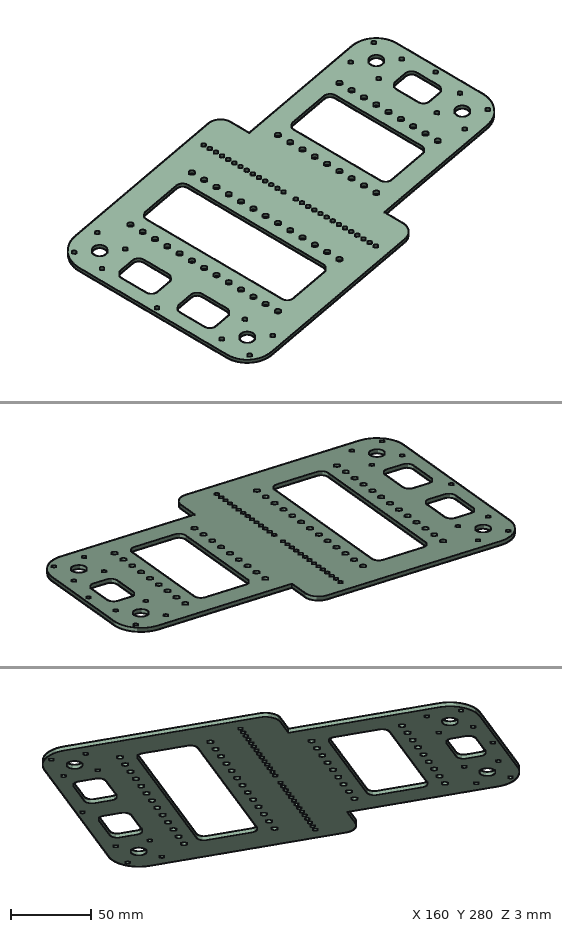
import cadquery as cq
import math

thickness = 3.0
length = 280.0
body_width = 160.0
neck_width = 110.0
shoulder_y = 20.0
end_corner_radius = 20.0
shoulder_radius = 10.0

row_pitch_y = 60.0
window_height = 40.0
window_radius = 5.0
neck_window_width = 80.0
body_window_width = 120.0
neck_window_y = row_pitch_y
body_window_y = -row_pitch_y

row_hole_diameter = 4.0
row_hole_pitch = 10.0
neck_row_count = 9
body_row_count = 13

fine_hole_diameter = 3.0
fine_hole_pitch = 5.0
fine_holes_per_side = 14
fine_row_y = -6.5

bore_diameter = 10.0
screw_hole_diameter = 3.1
bolt_circle_diameter = 32.0
mount_end_inset = 20.0
neck_mount_x = neck_width / 2 - mount_end_inset
body_mount_x = body_width / 2 - mount_end_inset
mount_y = length / 2 - mount_end_inset

end_hole_diameter = 3.0
end_hole_inset = 4.0

neck_opening_width = 27.5
neck_opening_height = 19.5
neck_opening_y = 118.25
body_opening_width = 29.8
body_opening_height = 21.4
body_opening_x = 23.75
body_opening_y = -119.25
opening_radius = 5.0


def rounded_block(width, height, radius, x=0.0, y=0.0):
    """Plate-thick rectangular block with rounded vertical edges, centred at (x, y)."""
    block = cq.Workplane("XY").box(width, height, thickness, centered=(True, True, False))
    return block.edges("|Z").fillet(radius).translate((x, y, 0))


def cut_holes(plate, diameter, points):
    """Cut round through holes at the given points."""
    pins = cq.Workplane("XY").pushPoints(points).circle(diameter / 2).extrude(thickness)
    return plate.cut(pins)


def make_plate():
    """Stepped plate with rounded end corners and shoulders."""
    half_length = length / 2
    half_body = body_width / 2
    half_neck = neck_width / 2
    right_side = [
        (half_body, -half_length),
        (half_body, shoulder_y),
        (half_neck, shoulder_y),
        (half_neck, half_length),
    ]
    left_side = [(-x, y) for x, y in reversed(right_side)]
    plate = cq.Workplane("XY").polyline(right_side + left_side).close().extrude(thickness)
    plate = plate.edges("|Z and (<Y or >Y)").fillet(end_corner_radius)
    return plate.edges("|Z and (<X or >X)").edges(">Y").fillet(shoulder_radius)


def centred_row(count, y):
    """Hole positions of a row centred on x = 0."""
    first_x = -(count - 1) / 2 * row_hole_pitch
    return [(first_x + i * row_hole_pitch, y) for i in range(count)]


def cut_windows(plate):
    """Cut the two large windows and the three small ones."""
    plate = plate.cut(rounded_block(neck_window_width, window_height, window_radius, y=neck_window_y))
    plate = plate.cut(rounded_block(body_window_width, window_height, window_radius, y=body_window_y))
    plate = plate.cut(
        rounded_block(neck_opening_width, neck_opening_height, opening_radius, y=neck_opening_y)
    )
    for side in (-1, 1):
        opening = rounded_block(
            body_opening_width,
            body_opening_height,
            opening_radius,
            x=side * body_opening_x,
            y=body_opening_y,
        )
        plate = plate.cut(opening)
    return plate


def cut_row_holes(plate):
    """Cut a row of holes above and below each large window."""
    points = []
    for offset in (-row_pitch_y / 2, row_pitch_y / 2):
        points += centred_row(neck_row_count, neck_window_y + offset)
        points += centred_row(body_row_count, body_window_y + offset)
    return cut_holes(plate, row_hole_diameter, points)


def cut_fine_row(plate):
    """Cut the two groups of fine holes, leaving the centre position solid."""
    points = []
    for i in range(1, fine_holes_per_side + 1):
        x = i * fine_hole_pitch
        points += [(-x, fine_row_y), (x, fine_row_y)]
    return cut_holes(plate, fine_hole_diameter, points)


def cut_mounts(plate):
    """Cut the four bores with their screw holes on the diagonals."""
    bores = []
    screws = []
    diagonal_offset = bolt_circle_diameter / 2 * math.sqrt(0.5)
    for side in (-1, 1):
        bores += [(side * neck_mount_x, mount_y), (side * body_mount_x, -mount_y)]
    for x, y in bores:
        for dx in (-diagonal_offset, diagonal_offset):
            for dy in (-diagonal_offset, diagonal_offset):
                screws.append((x + dx, y + dy))
    plate = cut_holes(plate, bore_diameter, bores)
    return cut_holes(plate, screw_hole_diameter, screws)


def cut_end_holes(plate):
    """Cut the centreline hole near each end."""
    y = length / 2 - end_hole_inset
    return cut_holes(plate, end_hole_diameter, [(0, y), (0, -y)])


result = make_plate()
result = cut_windows(result)
result = cut_row_holes(result)
result = cut_fine_row(result)
result = cut_mounts(result)
result = cut_end_holes(result)